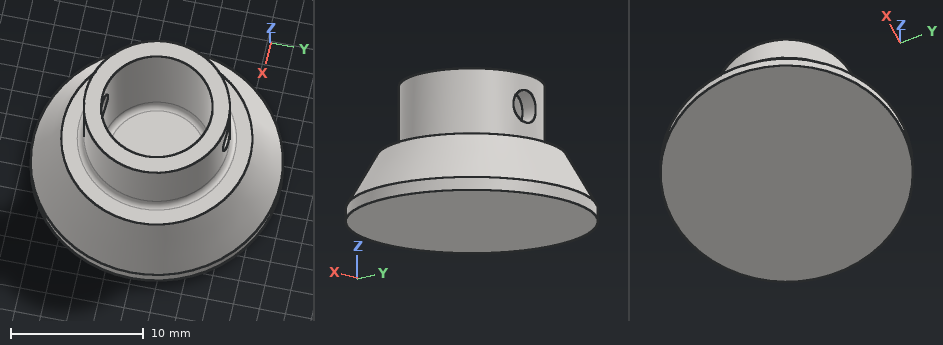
import cadquery as cq
import math

base_diameter = 19.0
rim_height = 1.0
base_height = 5.0
flare_angle = 30.0

total_height = 10.5
collar_diameter = 11.0
fillet_radius = 0.5

bore_diameter = 8.4
floor_thickness = 2 * rim_height
cross_hole_diameter = 2.5
cross_hole_height = 8.0

base_radius = base_diameter / 2
shoulder_radius = base_radius - (base_height - rim_height) * math.tan(math.radians(flare_angle))
collar_radius = collar_diameter / 2
bore_radius = bore_diameter / 2
arc_offset = fillet_radius * (1 - math.sqrt(0.5))


def make_body():
    """Revolve the rim, cone and collar, with a concave arc at the collar root."""
    profile = (
        cq.Workplane("XZ")
        .lineTo(base_radius, 0)
        .lineTo(base_radius, rim_height)
        .lineTo(shoulder_radius, base_height)
        .lineTo(collar_radius + fillet_radius, base_height)
        .threePointArc(
            (collar_radius + arc_offset, base_height + arc_offset),
            (collar_radius, base_height + fillet_radius),
        )
        .lineTo(collar_radius, total_height)
        .lineTo(0, total_height)
        .close()
    )
    return profile.revolve(360, (0, 0, 0), (0, 1, 0))


def make_bore():
    """Blind bore with a rounded edge around its floor."""
    return (
        cq.Workplane("XY", origin=(0, 0, floor_thickness))
        .circle(bore_radius)
        .extrude(total_height - floor_thickness)
        .faces("<Z")
        .edges()
        .fillet(fillet_radius)
    )


def make_cross_hole():
    """Pin hole along Y through both collar walls."""
    return (
        cq.Workplane("XZ", origin=(0, 0, cross_hole_height))
        .circle(cross_hole_diameter / 2)
        .extrude(base_radius, both=True)
    )


result = make_body().cut(make_bore()).cut(make_cross_hole())